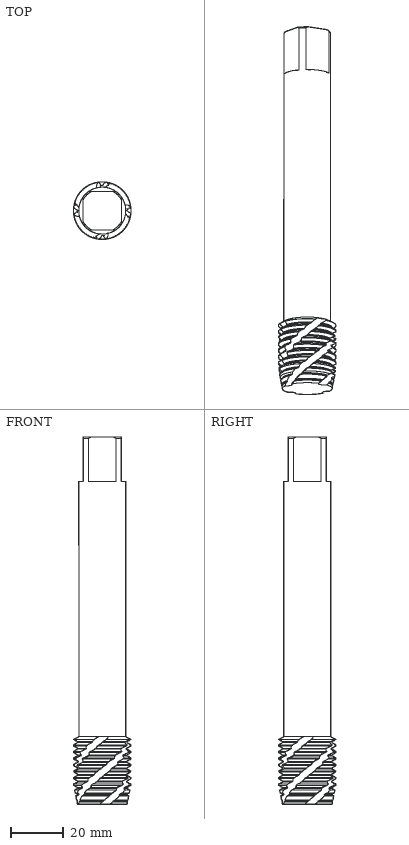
import cadquery as cq
import math

total_length = 140.0
head_length = 25.9

shank_radius = 9.0
square_width = 14.5
square_length = 17.0
top_chamfer = 0.5

crest_diameter = 22.0
crest_radius = crest_diameter / 2
root_radius = 9.5
top_ridge_height = 24.9
pitch_count = 10
pitch = top_ridge_height / pitch_count
crest_flat = 0.4
flank_angle = 30.0

lead_length = 7.7
lead_tip_radius = 9.5
bevel_height = 1.1

flute_count = 4
flute_lead = 52.5
flute_radius = 2.2
flute_floor_radius = 8.1
flute_start_angle = -84.0


def make_shank():
    """Round shank whose upper end is cut to a square, standing on the head."""
    shank = (
        cq.Workplane("XY", origin=(0, 0, head_length))
        .circle(shank_radius)
        .extrude(total_length - head_length)
        .faces(">Z")
        .chamfer(top_chamfer)
    )
    shank_diameter = 2 * shank_radius
    around_square = (
        cq.Workplane("XY", origin=(0, 0, total_length - square_length))
        .circle(shank_diameter)
        .rect(square_width, square_width)
        .extrude(square_length)
    )
    return shank.cut(around_square)


def revolve_about_z(outline):
    """Solid of revolution from (radius, height) points."""
    return cq.Workplane("XZ").polyline(outline).close().revolve(360, (0, 0), (0, 1))


def make_ridged_core():
    """Core with one ridge per pitch, running past both ends of the head."""
    half_crest = crest_flat / 2
    half_base = half_crest + (crest_radius - root_radius) * math.tan(math.radians(flank_angle))
    ridge_count = pitch_count + 1
    core_bottom = -pitch
    core_top = ridge_count * pitch

    outline = [(0, core_bottom), (root_radius, core_bottom)]
    for index in range(ridge_count):
        height = index * pitch
        outline += [
            (root_radius, height - half_base),
            (crest_radius, height - half_crest),
            (crest_radius, height + half_crest),
            (root_radius, height + half_base),
        ]
    outline += [(root_radius, core_top), (0, core_top)]
    return revolve_about_z(outline)


def make_head_envelope():
    """Outer limit of the head: tapered lead, cylinder and upper bevel."""
    return revolve_about_z([
        (0, 0),
        (lead_tip_radius, 0),
        (crest_radius, lead_length),
        (crest_radius, head_length - bevel_height),
        (shank_radius, head_length),
        (0, head_length),
    ])


def make_flute_cutter(start_angle):
    """Round section swept up the head as a right-hand helix about Z."""
    twist_angle = 360 * head_length / flute_lead
    return (
        cq.Workplane("XY")
        .moveTo(flute_floor_radius + flute_radius, 0)
        .circle(flute_radius)
        .twistExtrude(head_length, twist_angle)
        .rotate((0, 0, 0), (0, 0, 1), start_angle)
    )


def make_head():
    """Threaded cutting head with helical flutes."""
    head = make_ridged_core().intersect(make_head_envelope())
    for index in range(flute_count):
        start_angle = flute_start_angle + index * 360 / flute_count
        head = head.cut(make_flute_cutter(start_angle))
    return head


shank = make_shank().solids()
head = make_head().solids()

result = cq.Compound.makeCompound([shank.val(), head.val()])